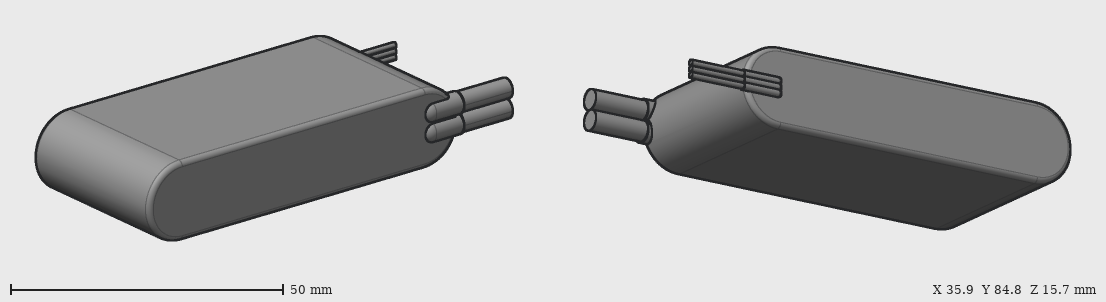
import cadquery as cq

body_width = 34.1
body_length = 72.7
body_height = 15.7
edge_radius = 1.0

overall_length = 84.85
wire_tip_y = overall_length - body_length / 2
bare_wire_length = 11.5
sleeve_start_y = wire_tip_y - bare_wire_length

signal_count = 3
signal_diameter = 1.2
signal_sleeve_diameter = 1.5
signal_sleeve_length = 8.5
signal_x = -body_width / 2
signal_z = -0.2

power_count = 2
power_diameter = 4.0
power_sleeve_diameter = 4.4
power_sleeve_length = 8.7
power_protrusion = 1.0
power_x = body_width / 2 + power_protrusion - power_sleeve_diameter / 2
power_z = 0.85


def make_body():
    outline = cq.Workplane("YZ").slot2D(body_length, body_height)
    body = outline.extrude(body_width / 2, both=True)
    return body.faces("<X or >X").edges().fillet(edge_radius)


def rod(x, z, diameter, front_y, back_y):
    """Round rod along Y between two Y positions."""
    profile = cq.Workplane("XZ", origin=(x, back_y, z)).circle(diameter / 2)
    return profile.extrude(back_y - front_y)


def sleeved_wire(x, z, diameter, sleeve_diameter, sleeve_length):
    """Wire in a sleeve whose buried end is a hemisphere."""
    round_y = sleeve_start_y - sleeve_length + sleeve_diameter / 2
    sleeve = rod(x, z, sleeve_diameter, round_y, sleeve_start_y)
    tip = cq.Workplane(origin=(x, round_y, z)).sphere(sleeve_diameter / 2)
    wire = rod(x, z, diameter, round_y, wire_tip_y)
    return sleeve.union(tip).union(wire)


def add_wire_row(part, count, x, row_z, diameter, sleeve_diameter, sleeve_length):
    """Add a vertical row of wires that touch one another."""
    for index in range(count):
        z = row_z + (index - (count - 1) / 2) * diameter
        part = part.union(sleeved_wire(x, z, diameter, sleeve_diameter, sleeve_length))
    return part


result = make_body()
result = add_wire_row(
    result, signal_count, signal_x, signal_z,
    signal_diameter, signal_sleeve_diameter, signal_sleeve_length,
)
result = add_wire_row(
    result, power_count, power_x, power_z,
    power_diameter, power_sleeve_diameter, power_sleeve_length,
)